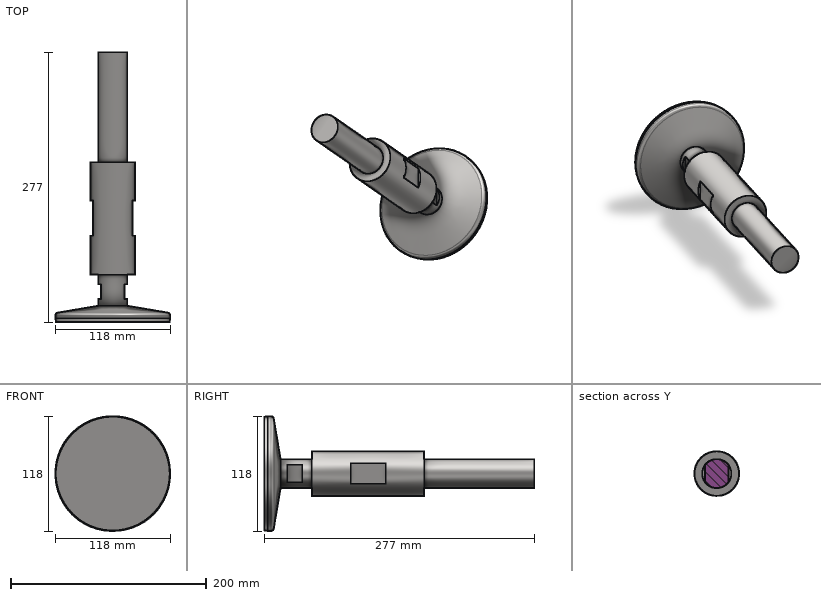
import cadquery as cq
import math

total_length = 277.0
pad_thickness = 4.0
rim_top = 6.6
rim_fillet = 3.3
cone_top = 17.0
sleeve_start = 48.8
sleeve_end = 164.0

plate_diameter = 118.0
pad_bottom_diameter = 116.5
stem_diameter = 30.0
sleeve_diameter = 46.0

neck_flat_start = 23.8
neck_flat_length = 15.0
neck_across_flats = 24.0
sleeve_flat_start = 88.6
sleeve_flat_length = 36.0
sleeve_across_flats = 41.0

plate_radius = plate_diameter / 2
stem_radius = stem_diameter / 2
sleeve_radius = sleeve_diameter / 2


def make_pad():
    """Round pad under the foot, narrowing slightly toward its underside."""
    return (
        cq.Workplane("XY")
        .lineTo(pad_bottom_diameter / 2, 0)
        .lineTo(plate_radius, pad_thickness)
        .lineTo(0, pad_thickness)
        .close()
        .revolve(360, (0, 0, 0), (0, 1, 0))
    )


def make_turned_foot():
    """Plate, cone, stem and sleeve, revolved about the Y axis."""
    centre_radius = plate_radius - rim_fillet
    run = centre_radius - stem_radius
    rise = cone_top - rim_top
    slope = math.atan2(rise, run) - math.asin(rim_fillet / math.hypot(run, rise))

    def rim_point(angle):
        return (
            centre_radius + rim_fillet * math.cos(angle),
            rim_top + rim_fillet * math.sin(angle),
        )

    tangent_angle = math.pi / 2 - slope
    return (
        cq.Workplane("XY")
        .moveTo(0, pad_thickness)
        .lineTo(plate_radius, pad_thickness)
        .lineTo(plate_radius, rim_top)
        .threePointArc(rim_point(tangent_angle / 2), rim_point(tangent_angle))
        .lineTo(stem_radius, cone_top)
        .lineTo(stem_radius, sleeve_start)
        .lineTo(sleeve_radius, sleeve_start)
        .lineTo(sleeve_radius, sleeve_end)
        .lineTo(stem_radius, sleeve_end)
        .lineTo(stem_radius, total_length)
        .lineTo(0, total_length)
        .close()
        .revolve(360, (0, 0, 0), (0, 1, 0))
    )


def cut_wrench_flats(body, start, length, across_flats):
    """Cut two opposite flats, facing -X and +X, over a stretch of the axis."""
    cutter_width = sleeve_diameter
    for side in (-1, 1):
        cutter = (
            cq.Workplane("XY")
            .box(cutter_width, length, cutter_width)
            .translate((side * (across_flats + cutter_width) / 2, start + length / 2, 0))
        )
        body = body.cut(cutter)
    return body


pad = make_pad()

foot = make_turned_foot()
foot = cut_wrench_flats(foot, neck_flat_start, neck_flat_length, neck_across_flats)
foot = cut_wrench_flats(foot, sleeve_flat_start, sleeve_flat_length, sleeve_across_flats)

result = cq.Compound.makeCompound([pad.val(), foot.val()])